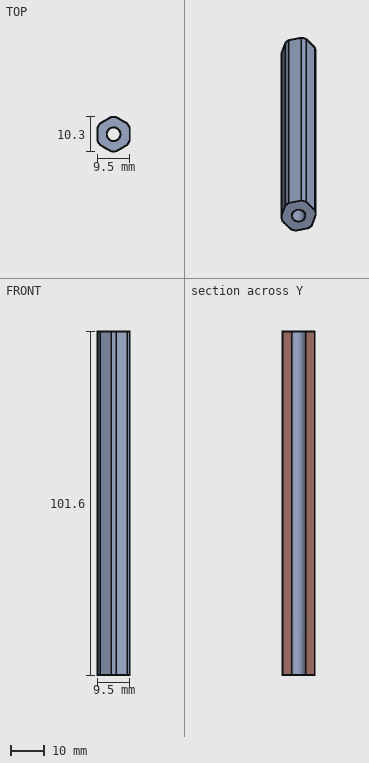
import cadquery as cq
import math

LENGTH = 101.6
ACROSS_FLATS = 9.5
CORNER_DIAMETER = 10.3
BORE_DIAMETER = 4.0

across_corners = ACROSS_FLATS / math.cos(math.radians(30))

hex_bar = (
    cq.Workplane("XY")
    .transformed(rotate=(0, 0, 90))
    .polygon(6, across_corners)
    .extrude(LENGTH)
)

corner_envelope = cq.Workplane("XY").circle(CORNER_DIAMETER / 2).extrude(LENGTH)

bore = cq.Workplane("XY").circle(BORE_DIAMETER / 2).extrude(LENGTH)

result = hex_bar.intersect(corner_envelope).cut(bore)